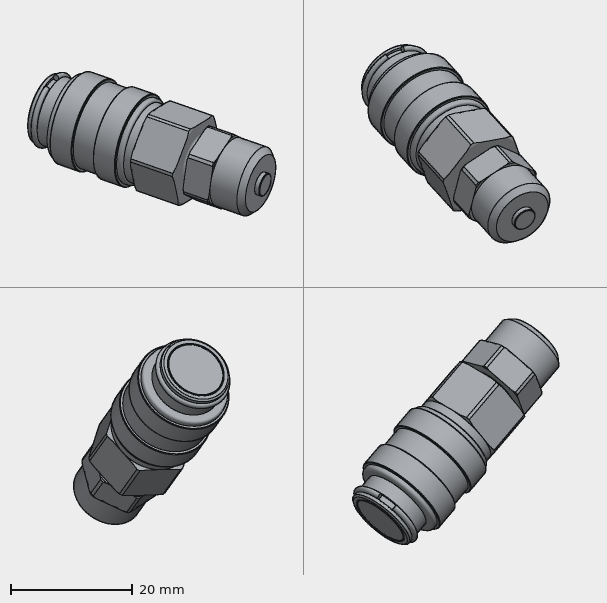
import cadquery as cq
import math

TOTAL_LENGTH = 42.0
OVERLAP = 0.4

SPIGOT_DIA = 12.0
SPIGOT_CHAMFER_LENGTH = 0.25
SPIGOT_CHAMFER_DEPTH = 0.35
GROOVE_START = 0.9
GROOVE_WIDTH = 1.15

WIRE_DIA = 1.0
RING_INNER_DIA = 11.1
RING_CENTRE = 1.43
GAP_START_ANGLE = 78.3
GAP_END_ANGLE = 107.5

VALVE_BORE_DIA = 10.0
VALVE_DIA = 9.6
VALVE_GROOVE_DEPTH = 0.2

SLEEVE_DIA = 15.1
SLEEVE_START = 4.58
SLEEVE_END = 19.03
SLEEVE_FRONT_FILLET = 0.5
SLEEVE_REAR_FILLET = 0.4
BAND_DIA = 16.15
BAND_WIDTH = 4.2
BAND_STARTS = (5.6, 13.8)
BAND_CHAMFER = 0.13

SHOULDER_DIA = 14.0
HEX_START = 20.6
HEX_END = 28.9
HEX_FLATS = 14.0
HEX_CORNER_DIA = 15.85
HEX_CORNER_ANGLE = -15.0
HEX_CHAMFER_LENGTH = 0.15
HEX_CHAMFER_DEPTH = 0.5

NECK_DIA = 8.4
NECK_FILLET = 0.65

NUT_START = 30.05
NUT_HEX_END = 34.9
NUT_FLATS = 12.0
NUT_CORNER_DIA = 13.52
NUT_CORNER_ANGLE = 15.8
NUT_CHAMFER_LENGTH = 0.13
NUT_CHAMFER_DEPTH = 0.25
NUT_SLEEVE_DIA = 12.0
NUT_CONE_START = 40.03
NUT_END = 41.08
NUT_END_DIA = 10.0

NIPPLE_DIA = 4.0
NIPPLE_CHAMFER = 0.13


def cylinder(start, end, diameter):
    """Round bar along X between two stations."""
    return cq.Workplane("YZ", origin=(start, 0, 0)).circle(diameter / 2).extrude(end - start)


def tube(start, end, outer_dia, inner_dia):
    """Hollow round bar along X between two stations."""
    return cylinder(start, end, outer_dia).cut(cylinder(start, end, inner_dia))


def hexagon(start, end, flats, corner_dia, corner_angle, chamfer_length, chamfer_depth):
    """Hexagon bar along X, its corners turned down and its ends chamfered as on a lathe."""
    sharp_corner_dia = flats / math.cos(math.radians(30))
    prism = cq.Workplane("YZ", origin=(start, 0, 0)).polygon(6, sharp_corner_dia).extrude(end - start)
    prism = prism.rotate((0, 0, 0), (1, 0, 0), corner_angle)
    corner_radius = corner_dia / 2
    face_radius = corner_radius - chamfer_depth
    envelope = (
        cq.Workplane("XY")
        .moveTo(start, 0)
        .lineTo(start, face_radius)
        .lineTo(start + chamfer_length, corner_radius)
        .lineTo(end - chamfer_length, corner_radius)
        .lineTo(end, face_radius)
        .lineTo(end, 0)
        .close()
        .revolve(360, (0, 0, 0), (1, 0, 0))
    )
    return prism.intersect(envelope)


def make_spigot():
    spigot = cylinder(0, SLEEVE_START + OVERLAP, SPIGOT_DIA)
    spigot = spigot.faces("<X").chamfer(SPIGOT_CHAMFER_LENGTH, SPIGOT_CHAMFER_DEPTH)
    ring_groove = tube(GROOVE_START, GROOVE_START + GROOVE_WIDTH, SPIGOT_DIA, RING_INNER_DIA)
    valve_groove = tube(0, VALVE_GROOVE_DEPTH, VALVE_BORE_DIA, VALVE_DIA)
    return spigot.cut(ring_groove).cut(valve_groove)


def make_sleeve():
    sleeve = cylinder(SLEEVE_START, SLEEVE_END, SLEEVE_DIA)
    sleeve = sleeve.faces("<X").edges().fillet(SLEEVE_FRONT_FILLET)
    sleeve = sleeve.faces(">X").edges().fillet(SLEEVE_REAR_FILLET)
    for band_start in BAND_STARTS:
        band = cylinder(band_start, band_start + BAND_WIDTH, BAND_DIA)
        sleeve = sleeve.union(band.faces("<X or >X").edges().chamfer(BAND_CHAMFER))
    return sleeve


def make_body_hexagon():
    shoulder = cylinder(SLEEVE_END - OVERLAP, HEX_START + OVERLAP, SHOULDER_DIA)
    body_hexagon = hexagon(
        HEX_START, HEX_END, HEX_FLATS, HEX_CORNER_DIA, HEX_CORNER_ANGLE,
        HEX_CHAMFER_LENGTH, HEX_CHAMFER_DEPTH,
    )
    return shoulder.union(body_hexagon)


def make_neck():
    """Neck with a concave fillet against the body hexagon."""
    neck_radius = NECK_DIA / 2
    root_radius = neck_radius + NECK_FILLET
    arc_offset = NECK_FILLET * (1 - math.cos(math.radians(45)))
    return (
        cq.Workplane("XY")
        .moveTo(HEX_END - OVERLAP, 0)
        .lineTo(HEX_END - OVERLAP, root_radius)
        .lineTo(HEX_END, root_radius)
        .threePointArc(
            (HEX_END + arc_offset, neck_radius + arc_offset),
            (HEX_END + NECK_FILLET, neck_radius),
        )
        .lineTo(NUT_START + OVERLAP, neck_radius)
        .lineTo(NUT_START + OVERLAP, 0)
        .close()
        .revolve(360, (0, 0, 0), (1, 0, 0))
    )


def make_nut():
    nut_hexagon = hexagon(
        NUT_START, NUT_HEX_END, NUT_FLATS, NUT_CORNER_DIA, NUT_CORNER_ANGLE,
        NUT_CHAMFER_LENGTH, NUT_CHAMFER_DEPTH,
    )
    nut_sleeve = cylinder(NUT_HEX_END - OVERLAP, NUT_END, NUT_SLEEVE_DIA)
    cone_length = NUT_END - NUT_CONE_START
    cone_depth = (NUT_SLEEVE_DIA - NUT_END_DIA) / 2
    nut_sleeve = nut_sleeve.faces(">X").chamfer(cone_length, cone_depth)
    return nut_hexagon.union(nut_sleeve)


def make_nipple():
    nipple = cylinder(NUT_END - OVERLAP, TOTAL_LENGTH, NIPPLE_DIA)
    return nipple.faces(">X").chamfer(NIPPLE_CHAMFER)


def make_coupling_body():
    return (
        make_spigot()
        .union(make_sleeve())
        .union(make_body_hexagon())
        .union(make_neck())
        .union(make_nut())
        .union(make_nipple())
    )


def make_snap_ring():
    """Wire circle swept about X from the end of the gap round to its start."""
    centreline_radius = (RING_INNER_DIA + WIRE_DIA) / 2
    sweep_angle = 360 - (GAP_END_ANGLE - GAP_START_ANGLE)
    ring = (
        cq.Workplane("XY")
        .center(RING_CENTRE, centreline_radius)
        .circle(WIRE_DIA / 2)
        .revolve(sweep_angle, (0, -centreline_radius, 0), (1, -centreline_radius, 0))
    )
    return ring.rotate((0, 0, 0), (1, 0, 0), GAP_END_ANGLE)


coupling_body = make_coupling_body()
snap_ring = make_snap_ring()

result = cq.Compound.makeCompound([coupling_body.val(), snap_ring.val()])